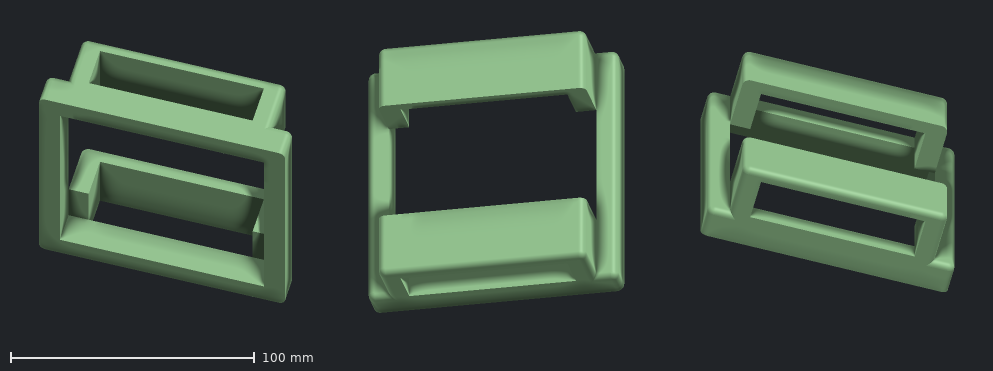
import cadquery as cq

width = 105.0
height = 104.0
depth = 35.0
plate_thickness = 13.0
edge_radius = 2.9

window_width = 87.0
window_height = 86.1

loop_width = window_width
loop_height = 27.0
loop_back_wall = 5.0
slot_width = 69.9

gap_height = height - 2 * loop_height
slot_depth = depth - plate_thickness - loop_back_wall


def block(size_x, size_z, y_start, length_y):
    """Box centred on X and Z, reaching from y_start toward +Y."""
    return cq.Workplane("XY").box(size_x, length_y, size_z).translate((0, y_start + length_y / 2, 0))


def rounded_block(size_x, length_y):
    """Full-height block from Y = 0 with every edge rounded except the front rim."""
    return block(size_x, height, 0, length_y).edges("not <Y").fillet(edge_radius)


body = rounded_block(width, plate_thickness).union(rounded_block(loop_width, depth))

body = body.cut(block(window_width, window_height, 0, plate_thickness))

body = body.cut(block(loop_width, gap_height, plate_thickness, depth))

result = body.cut(block(slot_width, height, plate_thickness, slot_depth))